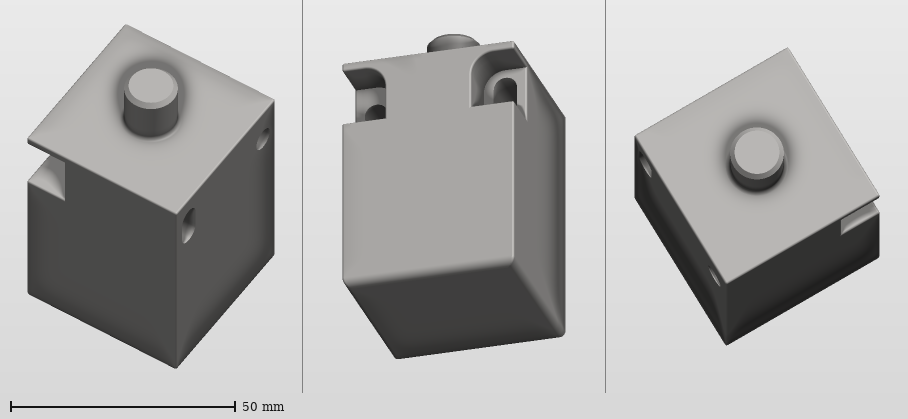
import cadquery as cq

side = 40.0
total_height = 67.0
plunger_height = 11.5
body_height = total_height - plunger_height
half_side = side / 2
base_radius = 2.0
edge_radius = 0.5

plunger_diameter = 12.0
plunger_chamfer = 1.0
plunger_root_radius = 1.0

pocket_size = 10.0
pocket_top = body_height - 2.0
pocket_floor = body_height - 15.0
pocket_corner_radius = 5.0

hole_diameter = 5.4
slot_length = 10.1
opening_offset = half_side - pocket_size / 2
opening_z = body_height - 9.0


def make_pocket(y_sign):
    """Corner pocket open to -X and to one Y side, with a rounded upper inner corner."""
    outer_y = y_sign * half_side
    inner_y = y_sign * (half_side - pocket_size)
    arc_end_y = inner_y + y_sign * pocket_corner_radius
    arc_start_z = pocket_top - pocket_corner_radius
    return (
        cq.Workplane("YZ", origin=(-half_side, 0, 0))
        .moveTo(outer_y, pocket_floor)
        .lineTo(inner_y, pocket_floor)
        .lineTo(inner_y, arc_start_z)
        .radiusArc((arc_end_y, pocket_top), y_sign * pocket_corner_radius)
        .lineTo(outer_y, pocket_top)
        .close()
        .extrude(pocket_size)
    )


def make_body():
    """Block with a rounded base, corner pockets and softened outer edges."""
    body = cq.Workplane("XY").box(side, side, body_height, centered=(True, True, False))
    body = body.faces("<Z").edges().fillet(base_radius)
    for y_sign in (-1, 1):
        body = body.cut(make_pocket(y_sign))
    above_base = cq.selectors.BoxSelector(
        (-side, -side, base_radius + edge_radius),
        (side, side, total_height),
    )
    return body.faces("<X or >X or <Y or >Y").edges(above_base).fillet(edge_radius)


def make_plunger():
    """Cylinder with a chamfered tip."""
    return (
        cq.Workplane("XY", origin=(0, 0, body_height))
        .circle(plunger_diameter / 2)
        .extrude(plunger_height)
        .faces(">Z")
        .chamfer(plunger_chamfer)
    )


result = make_body().union(make_plunger())

root_zone = cq.selectors.BoxSelector(
    (-plunger_diameter, -plunger_diameter, body_height - edge_radius),
    (plunger_diameter, plunger_diameter, body_height + edge_radius),
)
result = result.edges("%CIRCLE").edges(root_zone).fillet(plunger_root_radius)

opening_plane = cq.Workplane("YZ", origin=(-half_side, 0, 0))
hole = opening_plane.center(opening_offset, opening_z).circle(hole_diameter / 2).extrude(side)
slot = opening_plane.center(-opening_offset, opening_z).slot2D(slot_length, hole_diameter, 90).extrude(side)
result = result.cut(hole).cut(slot)